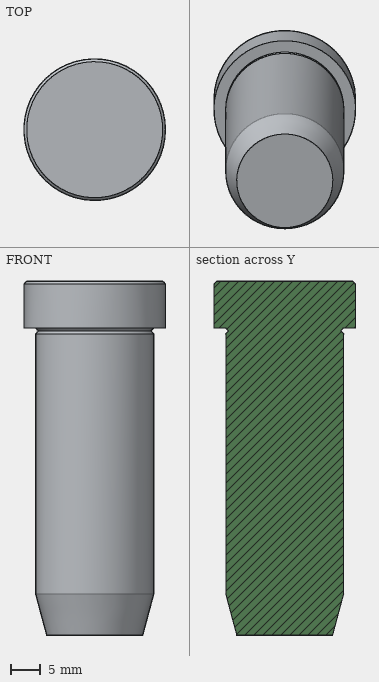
import cadquery as cq
import math

total_height = 60.0
head_radius = 12.0
head_height = 8.0
head_chamfer = 0.5
shank_radius = 10.0
groove_depth = 0.5
tip_height = 7.0
tip_angle = 15.0

tip_radius = shank_radius - tip_height * math.tan(math.radians(tip_angle))
head_bottom = total_height - head_height
groove_middle = head_bottom - groove_depth
groove_bottom = head_bottom - 2 * groove_depth
groove_floor = shank_radius - groove_depth

profile = (
    cq.Workplane("XZ")
    .lineTo(tip_radius, 0)
    .lineTo(shank_radius, tip_height)
    .lineTo(shank_radius, groove_bottom)
    .lineTo(groove_floor, groove_middle)
    .lineTo(shank_radius, head_bottom)
    .lineTo(head_radius, head_bottom)
    .lineTo(head_radius, total_height - head_chamfer)
    .lineTo(head_radius - head_chamfer, total_height)
    .lineTo(0, total_height)
    .close()
)

result = profile.revolve(360, (0, 0, 0), (0, 1, 0))